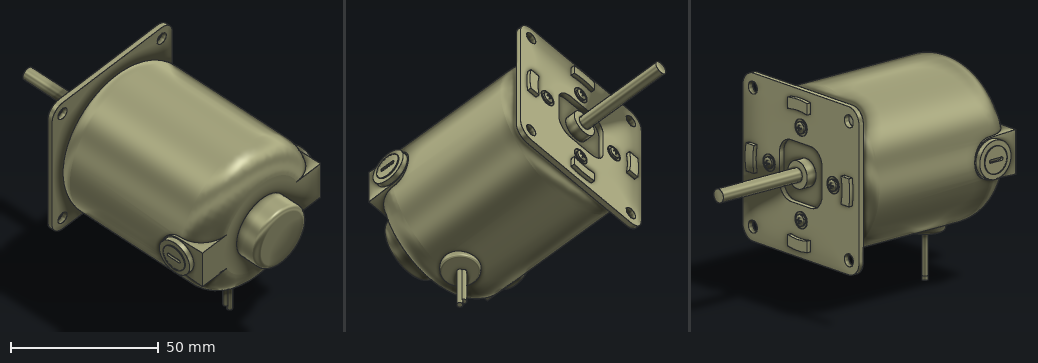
import cadquery as cq
import math


plate_side = 60.0
plate_thickness = 2.0
hole_pitch = 49.5
hole_diameter = 4.5
corner_radius = 5.5
window_side = 22.0
window_corner_radius = 6.0

pad_outer_radius = 27.0
pad_inner_radius = 23.0
pad_width = 10.0
pad_height = 1.5

screw_circle_radius = 16.5
screw_recess_diameter = 6.0
screw_recess_depth = 0.3
screw_head_diameter = 4.2
screw_rim_height = 0.35
screw_head_height = 1.1
cross_length = 2.0
cross_width = 0.35
cross_depth = 0.5

plate_gap = 0.5
housing_front = plate_thickness + plate_gap
housing_rear = 71.0
housing_radius = 29.5
front_fillet = 7.3
rear_fillet = 10.3

shaft_length = 37.0
shaft_diameter = 5.0
front_boss_diameter = 10.0
front_boss_end = -pad_height
rear_cap_end = 80.5
rear_cap_diameter = 25.0
rear_cap_fillet = 2.0

brush_x = 60.0
brush_block_radius = 7.5
brush_block_rear_half_width = 8.0
brush_cap_radius = 7.0
brush_cap_rim = 31.6
brush_button_radius = 5.0
brush_button_face = 32.0
brush_slot_length = 6.0
brush_slot_width = 1.2
brush_slot_depth = 1.0

overall_height = 79.5
grommet_x = 56.0
grommet_radius = 7.0
grommet_bottom = -31.5
grommet_fillet = 1.0
lead_diameter = 2.1
long_lead_x = 56.05
long_lead_y = 0.2
long_lead_bottom = plate_side / 2 - overall_height
short_lead_x = 55.2
short_lead_y = -0.8
lead_length_difference = 2.0
short_lead_bottom = long_lead_bottom + lead_length_difference


def disc_along_x(start, end, diameter):
    """Cylinder on the shaft axis between two X positions."""
    return cq.Workplane("YZ", origin=(start, 0, 0)).circle(diameter / 2).extrude(end - start)


def revolved_about_x(profile):
    """Solid of revolution from an outline drawn as (X, radius)."""
    return profile.revolve(360, (0, 0, 0), (1, 0, 0))


def raised_pad():
    """The pad above the shaft."""
    ring = (
        cq.Workplane("YZ", origin=(-pad_height, 0, 0))
        .circle(pad_outer_radius)
        .circle(pad_inner_radius)
        .extrude(pad_height)
    )
    strip_center = (-pad_height / 2, 0, pad_outer_radius / 2)
    strip = cq.Workplane("XY", origin=strip_center).box(pad_height, pad_width, pad_outer_radius)
    return ring.intersect(strip)


def screw_head():
    """Domed cross-recess head on the shaft axis, its base sunk in the plate."""
    head_radius = screw_head_diameter / 2
    dome_rise = screw_head_height - screw_rim_height
    dome_radius = (head_radius**2 + dome_rise**2) / (2 * dome_rise)
    dome_center = dome_radius - screw_head_height
    half_angle = math.asin(head_radius / dome_radius) / 2
    dome_middle = (
        dome_center - dome_radius * math.cos(half_angle),
        dome_radius * math.sin(half_angle),
    )
    head = revolved_about_x(
        cq.Workplane("XY")
        .moveTo(screw_recess_depth, 0)
        .lineTo(screw_recess_depth, head_radius)
        .lineTo(-screw_rim_height, head_radius)
        .threePointArc(dome_middle, (-screw_head_height, 0))
        .close()
    )
    slot = cq.Workplane("XY").box(2 * cross_depth, cross_length, cross_width)
    slot = slot.translate((-screw_head_height, 0, 0))
    return head.cut(slot).cut(slot.rotate((0, 0, 0), (1, 0, 0), 90))


def make_mounting_plate():
    plate = (
        cq.Workplane("YZ")
        .rect(plate_side, plate_side)
        .extrude(plate_thickness)
        .edges("|X")
        .fillet(corner_radius)
    )
    corner_holes = (
        cq.Workplane("YZ")
        .rect(hole_pitch, hole_pitch, forConstruction=True)
        .vertices()
        .circle(hole_diameter / 2)
        .extrude(plate_thickness)
    )
    window = (
        cq.Workplane("YZ")
        .rect(window_side, window_side)
        .extrude(plate_thickness)
        .edges("|X")
        .fillet(window_corner_radius)
    )
    plate = plate.cut(corner_holes).cut(window)

    screw_recess = disc_along_x(0, screw_recess_depth, screw_recess_diameter)
    screw_shift = (0, 0, screw_circle_radius)
    for quarter in range(4):
        turn = ((0, 0, 0), (1, 0, 0), 90 * quarter)
        plate = plate.cut(screw_recess.translate(screw_shift).rotate(*turn))
        plate = plate.union(screw_head().translate(screw_shift).rotate(*turn))
        plate = plate.union(raised_pad().rotate(*turn))
    return plate


def housing_shell():
    """Barrel with a rounded shoulder at each end."""
    diagonal = math.sqrt(0.5)
    front_shoulder = (
        housing_front + front_fillet * (1 - diagonal),
        housing_radius - front_fillet * (1 - diagonal),
    )
    rear_shoulder = (
        housing_rear - rear_fillet * (1 - diagonal),
        housing_radius - rear_fillet * (1 - diagonal),
    )
    return revolved_about_x(
        cq.Workplane("XY")
        .moveTo(housing_front, 0)
        .lineTo(housing_front, housing_radius - front_fillet)
        .threePointArc(front_shoulder, (housing_front + front_fillet, housing_radius))
        .lineTo(housing_rear - rear_fillet, housing_radius)
        .threePointArc(rear_shoulder, (housing_rear, housing_radius - rear_fillet))
        .lineTo(housing_rear, 0)
        .close()
    )


def brush_holder():
    """Block, cap and slotted button across the whole housing, the same on both sides."""
    middle = cq.Workplane("XZ")
    block = (
        middle.moveTo(brush_x, brush_block_radius)
        .threePointArc((brush_x - brush_block_radius, 0), (brush_x, -brush_block_radius))
        .lineTo(housing_rear, -brush_block_rear_half_width)
        .lineTo(housing_rear, brush_block_rear_half_width)
        .close()
        .extrude(housing_radius, both=True)
    )
    cap = middle.center(brush_x, 0).circle(brush_cap_radius).extrude(brush_cap_rim, both=True)
    button = middle.center(brush_x, 0).circle(brush_button_radius).extrude(brush_button_face, both=True)
    holder = block.union(cap).union(button)
    slot = middle.center(brush_x, 0).slot2D(brush_slot_length, brush_slot_width)
    slot = slot.extrude(brush_slot_depth, both=True)
    for side in (-1, 1):
        holder = holder.cut(slot.translate((0, side * brush_button_face, 0)))
    return holder


def lead(x, y, bottom):
    """Round wire from the shaft axis level down to its cut end."""
    return cq.Workplane("XY", origin=(x, y, bottom)).circle(lead_diameter / 2).extrude(-bottom)


def grommet():
    return (
        cq.Workplane("XY", origin=(grommet_x, 0, grommet_bottom))
        .circle(grommet_radius)
        .extrude(-grommet_bottom)
        .faces("<Z")
        .edges()
        .fillet(grommet_fillet)
    )


def make_motor():
    rear_cap = disc_along_x(housing_front, rear_cap_end, rear_cap_diameter)
    rear_cap = rear_cap.faces(">X").edges().fillet(rear_cap_fillet)
    return (
        housing_shell()
        .union(rear_cap)
        .union(disc_along_x(front_boss_end, housing_rear, front_boss_diameter))
        .union(disc_along_x(-shaft_length, housing_rear, shaft_diameter))
        .union(brush_holder())
        .union(grommet())
        .union(lead(long_lead_x, long_lead_y, long_lead_bottom))
        .union(lead(short_lead_x, short_lead_y, short_lead_bottom))
    )


mounting_plate = make_mounting_plate()
motor = make_motor()
result = cq.Compound.makeCompound([mounting_plate.val(), motor.val()])